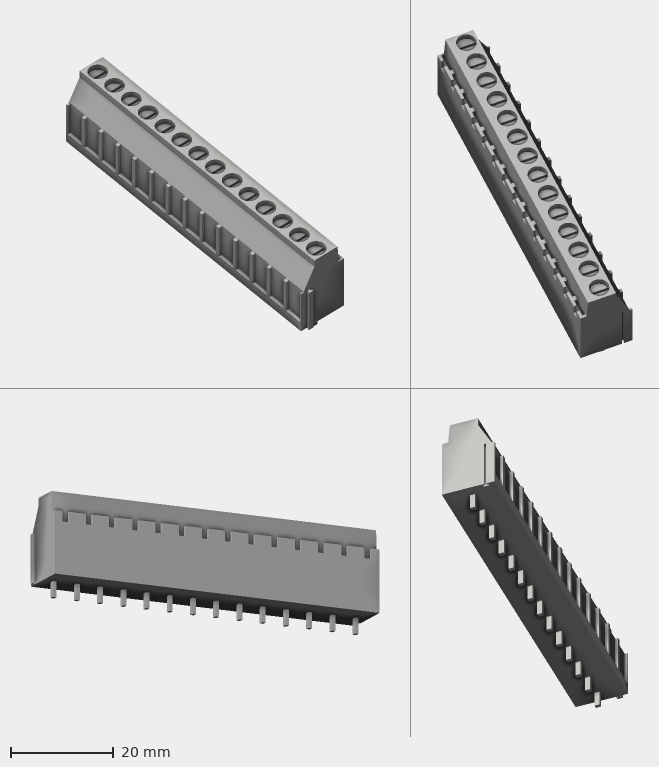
import cadquery as cq

poles = 14
total_length = 70.65
body_length = 69.9
body_depth = 11.0
body_height = 17.0
first_pole_x = 2.55
row_length = 65.0
pitch = row_length / (poles - 1)

nose_height = 1.7
nose_setback = 3.45
front_shelf_depth = 0.6
front_shelf_z = 10.0
back_shelf_z = 12.8
back_shelf_depth = 1.35
back_top_setback = 1.6

pocket_width = 4.2
pocket_depth = 0.7
pocket_floor_z = 2.3

well_diameter = 4.0
well_depth = 1.4
well_y = 5.9
drive_slot_width = 0.65
drive_slot_depth = 0.7

marker_width = 4.0
marker_neck_width = 1.4
marker_neck_depth = 0.65
marker_recess_depth = 2.1

pin_width = 0.8
pin_thickness = 1.05
pin_length = 3.25
pin_y = 5.45

coupling_y = 2.0
coupling_neck = 0.5
coupling_head = 1.1
coupling_neck_length = 0.35
coupling_reach = total_length - body_length

pole_centres = [first_pole_x + index * pitch for index in range(poles)]


def box(x_centre, width, y_min, y_max, z_min, z_max):
    """Box centred on x_centre in X, between the given limits in Y and Z."""
    size = (width, y_max - y_min, z_max - z_min)
    return cq.Workplane("XY").box(*size, centered=(True, False, False)).translate((x_centre, y_min, z_min))


def make_body():
    """Side profile extruded along the row of poles."""
    profile = [
        (0, 0),
        (body_depth, 0),
        (body_depth, back_shelf_z),
        (body_depth - back_shelf_depth, back_shelf_z),
        (body_depth - back_top_setback, body_height),
        (nose_setback, body_height),
        (nose_setback, body_height - nose_height),
        (front_shelf_depth, front_shelf_z),
        (0, front_shelf_z),
    ]
    return cq.Workplane("YZ").polyline(profile).close().extrude(body_length)


def make_coupling(x_face):
    """Upright T-section rail reaching in +X from the face at x_face, with its head at the far end."""
    head_start = x_face + coupling_neck_length
    head_end = x_face + coupling_reach
    half_neck = coupling_neck / 2
    half_head = coupling_head / 2
    outline = [
        (x_face, coupling_y - half_neck),
        (head_start, coupling_y - half_neck),
        (head_start, coupling_y - half_head),
        (head_end, coupling_y - half_head),
        (head_end, coupling_y + half_head),
        (head_start, coupling_y + half_head),
        (head_start, coupling_y + half_neck),
        (x_face, coupling_y + half_neck),
    ]
    return cq.Workplane("XY").polyline(outline).close().extrude(front_shelf_z)


def make_wire_pocket(x):
    """Front pocket, open at the top where it breaks through the slope."""
    return box(x, pocket_width, 0, pocket_depth, pocket_floor_z, body_height)


def make_screw_well(x):
    """Round well down to the screw head, with the driver slot below it."""
    head_z = body_height - well_depth
    radius = well_diameter / 2
    well = cq.Workplane("XY", origin=(x, well_y, head_z)).circle(radius).extrude(well_depth)
    slot = box(x, drive_slot_width, well_y - radius, well_y + radius, head_z - drive_slot_depth, head_z)
    screw_head = well.translate((0, 0, -well_depth))
    return well.union(slot.intersect(screw_head))


def make_marker_recess(x):
    """T-shaped recess whose neck opens through the back face."""
    floor_z = back_shelf_z - marker_recess_depth
    neck_start = body_depth - marker_neck_depth
    head = box(x, marker_width, body_depth - back_shelf_depth, neck_start, floor_z, back_shelf_z)
    neck = box(x, marker_neck_width, neck_start, body_depth, floor_z, back_shelf_z)
    return head.union(neck)


def make_pin(x):
    """Solder pin below the underside."""
    return box(x, pin_width, pin_y - pin_thickness / 2, pin_y + pin_thickness / 2, -pin_length, 0)


result = make_body().union(make_coupling(body_length))
result = result.cut(make_coupling(0))
for centre in pole_centres:
    result = result.cut(make_wire_pocket(centre))
    result = result.cut(make_screw_well(centre))
    result = result.cut(make_marker_recess(centre))
    result = result.union(make_pin(centre))